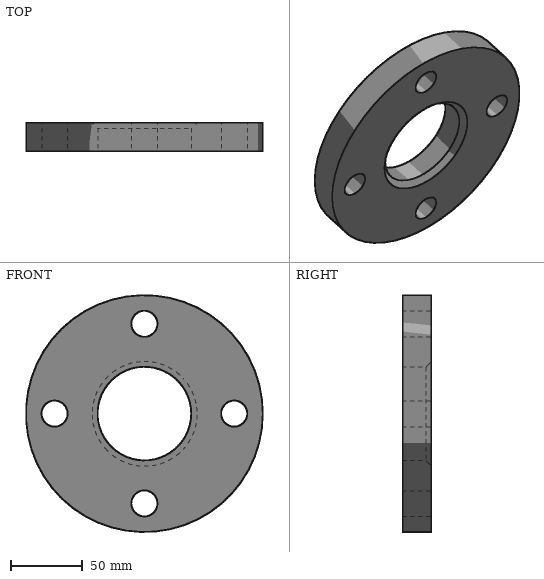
import cadquery as cq

outer_diameter = 165.0
thickness = 20.0
bore_diameter = 65.0
bore_chamfer = 4.0
bolt_circle_diameter = 125.0
bolt_hole_diameter = 18.0
bolt_hole_count = 4


def flange_ring():
    """Disc from Y = 0 to Y = thickness, its through bore chamfered at the +Y end."""
    ring = (
        cq.Workplane("XZ")
        .circle(outer_diameter / 2)
        .circle(bore_diameter / 2)
        .extrude(-thickness)
    )
    bore_back_edge = ring.faces(">Y").edges(cq.selectors.RadiusNthSelector(0))
    return bore_back_edge.chamfer(bore_chamfer)


def bolt_holes():
    """Cylinders that cut the bolt holes, evenly spaced with the first on +X."""
    return (
        cq.Workplane("XZ")
        .polarArray(bolt_circle_diameter / 2, 0, 360, bolt_hole_count)
        .circle(bolt_hole_diameter / 2)
        .extrude(-thickness)
    )


result = flange_ring().cut(bolt_holes())